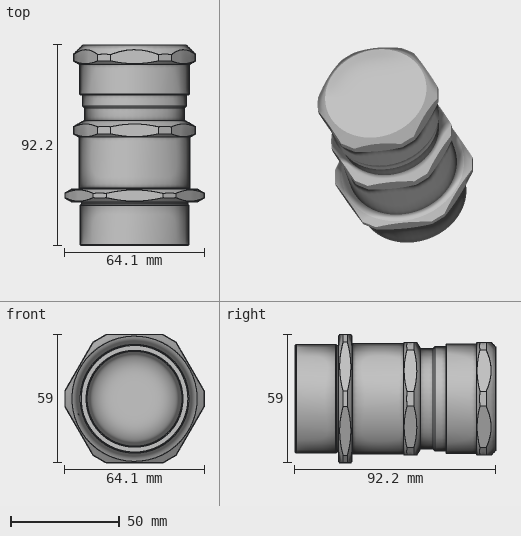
import cadquery as cq
import math

total_length = 92.2

spigot_diameter = 50.0
undercut_diameter = 49.0
spigot_end = 18.5
blind_bore_diameter = 43.6
blind_bore_depth = 19.1
bore_chamfer = 0.5

lock_nut_start = 20.0
lock_nut_end = 26.0
lock_nut_flats = 59.0
lock_nut_corners = 64.1
lock_nut_face_diameter = 57.5

body_diameter = 50.9
body_start = 26.4
body_hex_start = 49.8
body_hex_end = 57.5
neck_diameter = 46.0

collar_diameter = 48.0
collar_start = 63.3

cap_diameter = 50.4
cap_start = 69.3
cap_edge_chamfer = 0.4
cap_hex_start = 83.2
cap_face_diameter = 47.4

hex_flats = 51.8
hex_corners = 55.9

nut_chamfer_angle = 30.0
cap_front_angle = 45.0


def revolve_profile(points):
    """Revolve a closed outline of (radius, Y) points about the Y axis."""
    return cq.Workplane("XY").polyline(points).close().revolve(360, (0, 0, 0), (0, 1, 0))


def cylinder(diameter, start, end, start_chamfer=0.0, end_chamfer=0.0):
    """Solid cylinder along Y with optional 45 degree end chamfers."""
    radius = diameter / 2
    points = [(0, start), (radius - start_chamfer, start)]
    if start_chamfer > 0:
        points.append((radius, start + start_chamfer))
    points.append((radius, end - end_chamfer))
    if end_chamfer > 0:
        points.append((radius - end_chamfer, end))
    points.append((0, end))
    return revolve_profile(points)


def hex_prism(across_flats, start, end, turn):
    """Hexagonal prism along Y; turn = 0 puts corners on the X axis."""
    across_corners = across_flats / math.cos(math.radians(30))
    prism = cq.Workplane("XZ", origin=(0, start, 0)).polygon(6, across_corners).extrude(start - end)
    return prism.rotate((0, 0, 0), (0, 1, 0), turn)


def hexagon(flats, corners, start, end, start_face, end_face, end_angle=nut_chamfer_angle):
    """Hexagon with flat-cut corners and a conical chamfer at each end."""
    cone_radius = flats / math.sqrt(3)
    start_rise = (cone_radius - start_face / 2) * math.tan(math.radians(nut_chamfer_angle))
    end_rise = (cone_radius - end_face / 2) * math.tan(math.radians(end_angle))
    length = end - start
    start_cone = revolve_profile([
        (0, start),
        (start_face / 2, start),
        (cone_radius, start + start_rise),
        (cone_radius, end + length),
        (0, end + length),
    ])
    end_cone = revolve_profile([
        (0, start - length),
        (cone_radius, start - length),
        (cone_radius, end - end_rise),
        (end_face / 2, end),
        (0, end),
    ])
    prism = hex_prism(flats, start, end, 0).intersect(hex_prism(corners, start, end, 30))
    return prism.intersect(start_cone).intersect(end_cone)


thread_chamfer = (spigot_diameter - undercut_diameter) / 2
spigot = cylinder(spigot_diameter, 0, spigot_end + thread_chamfer, thread_chamfer, thread_chamfer)
undercut = cylinder(undercut_diameter, spigot_end, body_start)

lock_nut = hexagon(
    lock_nut_flats, lock_nut_corners, lock_nut_start, lock_nut_end,
    lock_nut_face_diameter, lock_nut_face_diameter,
)

body = cylinder(body_diameter, body_start, body_hex_start)
body_hex = hexagon(
    hex_flats, hex_corners, body_hex_start, body_hex_end, body_diameter, neck_diameter,
)

neck = cylinder(neck_diameter, body_hex_end, collar_start)
collar_chamfer = (collar_diameter - neck_diameter) / 2
collar = cylinder(collar_diameter, collar_start, cap_start, collar_chamfer)

cap = cylinder(cap_diameter, cap_start, cap_hex_start, cap_edge_chamfer)
cap_hex = hexagon(
    hex_flats, hex_corners, cap_hex_start, total_length,
    cap_diameter, cap_face_diameter, cap_front_angle,
)

result = spigot
for section in (undercut, lock_nut, body, body_hex, neck, collar, cap, cap_hex):
    result = result.union(section)

bore_radius = blind_bore_diameter / 2
bore = revolve_profile([
    (0, 0),
    (bore_radius + bore_chamfer, 0),
    (bore_radius, bore_chamfer),
    (bore_radius, blind_bore_depth),
    (0, blind_bore_depth),
])
result = result.cut(bore)